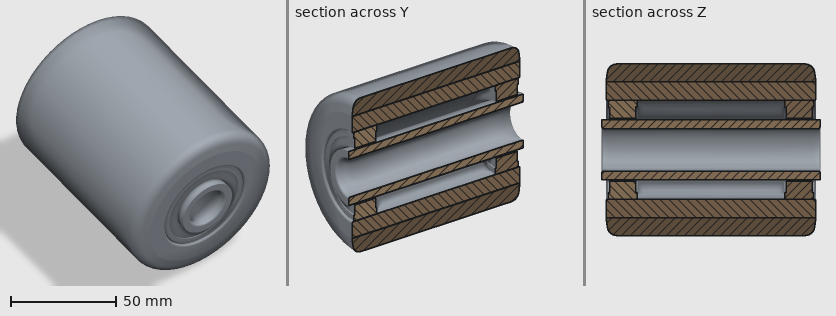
import cadquery as cq
import math


tube_length = 104.0
tube_radius = 14.5
tube_bore_radius = 10.0
tube_bore_fillet = 1.0

core_length = 100.0
core_radius = 32.5
core_bore_fillet = 1.0
tyre_radius = 41.0
tyre_shoulder_radius = 4.9
tyre_side_angle = math.radians(8.0)

bearing_radius = 23.5
bearing_width = 14.0
bearing_depth = 1.0
bearing_fillet = 0.8
bearing_clearance = 0.4
shield_radius = 20.3
shield_recess = 0.6

bearing_bore_radius = tube_radius + bearing_clearance
bearing_outer_face = core_length / 2 - bearing_depth

SMALLEST_EDGES = cq.selectors.RadiusNthSelector(0)
LARGEST_EDGES = cq.selectors.RadiusNthSelector(-1)


def make_ring(length, outer_radius, inner_radius):
    """Plain ring along X, centred on the origin."""
    return (
        cq.Workplane("YZ")
        .circle(outer_radius)
        .circle(inner_radius)
        .extrude(length / 2, both=True)
    )


def make_tube():
    tube = make_ring(tube_length, tube_radius, tube_bore_radius)
    return tube.edges(SMALLEST_EDGES).fillet(tube_bore_fillet)


def make_core():
    core = make_ring(core_length, core_radius, bearing_radius)
    return core.edges(SMALLEST_EDGES).fillet(core_bore_fillet)


def make_tyre():
    """Tyre with conical side faces that run tangentially into rounded shoulders."""
    inner_x = core_length / 2
    center_r = tyre_radius - tyre_shoulder_radius
    tangent_r = center_r + tyre_shoulder_radius * math.sin(tyre_side_angle)
    tangent_x = inner_x - (tangent_r - core_radius) * math.tan(tyre_side_angle)
    center_x = tangent_x - tyre_shoulder_radius * math.cos(tyre_side_angle)
    middle_angle = (tyre_side_angle + math.pi / 2) / 2
    middle_x = center_x + tyre_shoulder_radius * math.cos(middle_angle)
    middle_r = center_r + tyre_shoulder_radius * math.sin(middle_angle)
    return (
        cq.Workplane("XY")
        .moveTo(-inner_x, core_radius)
        .lineTo(inner_x, core_radius)
        .lineTo(tangent_x, tangent_r)
        .threePointArc((middle_x, middle_r), (center_x, tyre_radius))
        .lineTo(-center_x, tyre_radius)
        .threePointArc((-middle_x, middle_r), (-tangent_x, tangent_r))
        .close()
        .revolve(360, (0, 0, 0), (1, 0, 0))
    )


def make_bearing(side):
    """Bearing at the +X (side = 1) or -X (side = -1) end, shields set into both faces."""
    bearing = make_ring(bearing_width, bearing_radius, bearing_bore_radius)
    bearing = bearing.edges(LARGEST_EDGES).fillet(bearing_fillet)
    for face in ("<X", ">X"):
        bearing = bearing.faces(face).workplane().circle(shield_radius).cutBlind(-shield_recess)
    return bearing.translate((side * (bearing_outer_face - bearing_width / 2), 0, 0))


tube = make_tube()
core = make_core()
tyre = make_tyre()
bearings = [make_bearing(side) for side in (-1, 1)]

result = cq.Compound.makeCompound(
    [tube.val(), core.val(), tyre.val(), *[bearing.val() for bearing in bearings]]
)